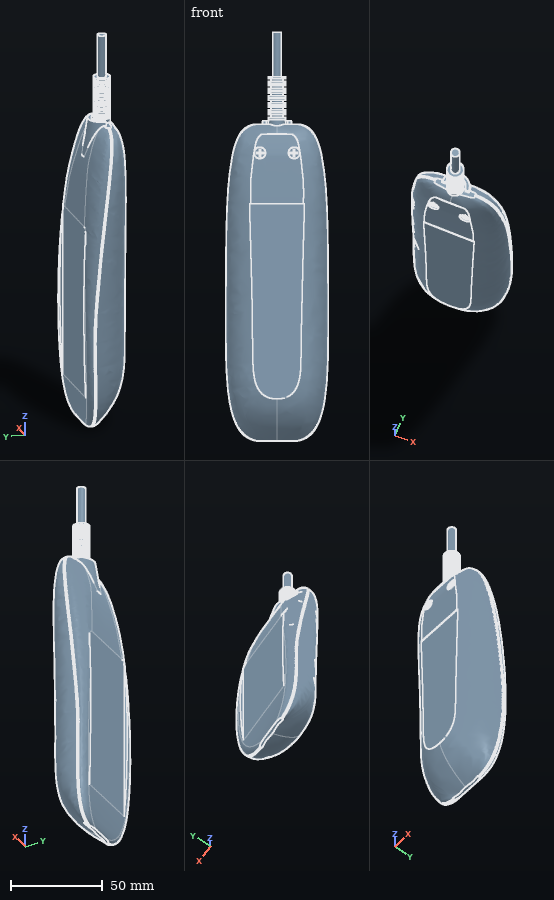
import cadquery as cq
import math


shell_top = 172.5
half_width = 55.9 / 2
cutter_length = 4 * half_width
cut_clearance = 2.2
front_y = -9.1
back_y = 17.1
pole_gap = 0.5
wide_z = 60.1
deep_z = 71.2
crown_y = -11.1
crown_start_z = 53.5
crown_end_z = 124.7
front_fullness = 0.73
back_round = 5.0
back_round_growth = 0.12
max_round_share = 0.6

width_bottom_curve = (3, 4)
width_top_curve = (4.2, 5)
crown_bottom_power = 4
crown_top_curve = (4, 2.6)
back_bottom_curve = (2, 3)
back_top_curve = (2.5, 2)

seam_peak_z = 55.7
seam_peak_y = 13.1
seam_bottom_y = 10.7
seam_power = 1.5
seam_width = 1.0
seam_depth = 0.7

channel_floor_y = 15.8
channel_half_width = 19.5
channel_wall_run = 0.8

panel_split_z = 129.1
cover_step = 0.2
plate_bend_z = 144.7
plate_middle_z = 160.3
plate_middle_y = -8.5
plate_top_z = 167
plate_top_y = -7.3

screw_x = 9.4
screw_z = 157.0
screw_radius = 3.1
screw_floor_y = -7.8
cross_length = 4.0
cross_width = 1.0
cross_depth = 1.0

cable_radius = 2.5
cable_top = 222.6
boot_bottom = 164.8
boot_top = 198.4
boot_radius = 4.7
groove_count = 6
groove_span = 23.4
groove_pitch = groove_span / groove_count
groove_width = 1.3
groove_radius = 3.3
score_width = 0.5
score_radius = 4.5
top_ring = 1.1
collar_top = 174.5
collar_bottom = 153.6
collar_top_radius = 7.8
collar_bottom_radius = 11.1
collar_bore_radius = 5.8

section_heights = [0, 1.1, 3.3, 7.8, 15.5, 24.5, 40, 60.1, 80.2, 102.5, 124.7, 142.5, 153.6, 161.5, 167, 170.3, 171.9, shell_top]


def taper(share, fullness, bluntness):
    """Superellipse that falls from 1 to 0 as share goes from 0 to 1."""
    return (1 - share**fullness) ** (1 / bluntness)


def width_at(z):
    """Half of the shell's width."""
    if z < wide_z:
        return half_width * taper((wide_z - z) / (wide_z + pole_gap), *width_bottom_curve)
    return half_width * taper((z - wide_z) / (shell_top + pole_gap - wide_z), *width_top_curve)


def seam_at(z):
    """Y of the parting line, where the shell is widest."""
    if z < seam_peak_z:
        drop = seam_peak_y - seam_bottom_y
        return seam_peak_y - drop * ((seam_peak_z - z) / seam_peak_z) ** seam_power
    return seam_peak_y * (1 - ((z - seam_peak_z) / (shell_top - seam_peak_z)) ** seam_power)


def crown_at(z):
    """Foremost point of the shell before the panels are planed off."""
    if z < crown_start_z:
        share = (crown_start_z - z) / (crown_start_z + pole_gap)
        return crown_y + (seam_bottom_y - crown_y) * share**crown_bottom_power
    if z > crown_end_z:
        return crown_y * taper((z - crown_end_z) / (shell_top + pole_gap - crown_end_z), *crown_top_curve)
    return crown_y


def back_at(z):
    """Y of the raised edges of the back."""
    if z < deep_z:
        rise = back_y - seam_bottom_y
        return seam_bottom_y + rise * taper((deep_z - z) / (deep_z + pole_gap), *back_bottom_curve)
    return back_y * taper((z - deep_z) / (shell_top + pole_gap - deep_z), *back_top_curve)


def section(z, inset):
    """Cross-section at height z: domed front, rounded sides and a flat back."""
    side = width_at(z) - inset
    crest = side - min(back_round + back_round_growth * max(z - deep_z, 0), side * max_round_share)
    crown, seam, back = crown_at(z), seam_at(z), back_at(z)
    front_mid = (side * front_fullness, seam + (crown - seam) * front_fullness)
    ellipse_mid = math.sqrt(0.5)
    back_mid = (crest + (side - crest) * ellipse_mid, seam + (back - seam) * ellipse_mid)
    right, up, left, down = (1, 0), (0, 1), (-1, 0), (0, -1)
    return (
        cq.Workplane("XY", origin=(0, 0, z))
        .moveTo(0, crown)
        .spline([front_mid, (side, seam)], tangents=[right, up], includeCurrent=True)
        .spline([back_mid, (crest, back)], tangents=[up, left], includeCurrent=True)
        .lineTo(-crest, back)
        .spline([(-back_mid[0], back_mid[1]), (-side, seam)], tangents=[left, down], includeCurrent=True)
        .spline([(-front_mid[0], front_mid[1]), (0, crown)], tangents=[down, right], includeCurrent=True)
        .wire()
        .val()
    )


def shell(inset=0):
    return cq.Workplane(cq.Solid.makeLoft([section(z, inset) for z in section_heights], False))


def seam_groove():
    """Shallow groove round the shell along the parting line."""
    line = [(seam_at(z), z) for z in section_heights]
    lower = [(y - seam_width / 2, z) for y, z in line]
    upper = [(y + seam_width / 2, z) for y, z in reversed(line)]
    strip = (
        cq.Workplane("YZ", origin=(-cutter_length / 2, 0, 0))
        .moveTo(*lower[0])
        .spline(lower[1:], includeCurrent=True)
        .lineTo(*upper[0])
        .spline(upper[1:], includeCurrent=True)
        .close()
        .extrude(cutter_length)
    )
    return strip.cut(shell(seam_depth))


def back_channel():
    """Sloping-sided channel that runs out where the back drops below its floor."""
    outer_y = back_y + cut_clearance
    outer_half_width = channel_half_width + channel_wall_run * (outer_y - channel_floor_y)
    return (
        cq.Workplane("XY")
        .polyline([
            (-channel_half_width, channel_floor_y),
            (channel_half_width, channel_floor_y),
            (outer_half_width, outer_y),
            (-outer_half_width, outer_y),
        ])
        .close()
        .extrude(shell_top)
    )


def panel_cut():
    """Everything in front of the two panels: the upper one curves back at its top."""
    return (
        cq.Workplane("YZ", origin=(-cutter_length / 2, 0, 0))
        .moveTo(crown_y - cut_clearance, 0)
        .lineTo(front_y + cover_step, 0)
        .lineTo(front_y + cover_step, panel_split_z)
        .lineTo(front_y, panel_split_z)
        .spline(
            [(front_y, plate_bend_z), (plate_middle_y, plate_middle_z), (plate_top_y, plate_top_z)],
            tangents=[(0, 1), (plate_top_y - plate_middle_y, plate_top_z - plate_middle_z)],
            includeCurrent=True,
        )
        .lineTo(crown_y - cut_clearance, shell_top)
        .close()
        .extrude(cutter_length)
    )


def screw_recess(x):
    """Round recess down to a screw head with a cross slot."""
    head = (
        cq.Workplane("XZ", origin=(x, screw_floor_y, screw_z))
        .circle(screw_radius)
        .extrude(cut_clearance)
    )
    cross = cq.Workplane("XZ", origin=(x, screw_floor_y + cross_depth, screw_z))
    upright = cross.rect(cross_width, cross_length).extrude(cross_depth)
    level = cross.rect(cross_length, cross_width).extrude(cross_depth)
    return head.union(upright).union(level)


def turned(profile):
    """Solid of revolution about the cable from (radius, height) points."""
    return cq.Workplane("XZ").polyline(profile).close().revolve(360, (0, 0), (0, 1))


def ring_cutter(middle_z, width, radius):
    """Ring that cuts the boot down to the given radius."""
    ring = cq.Workplane("XY", origin=(0, 0, middle_z - width / 2))
    return ring.circle(2 * boot_radius).circle(radius).extrude(width)


def boot():
    """Ribbed sleeve where the cable leaves the shell."""
    body = cq.Workplane("XY", origin=(0, 0, boot_bottom)).circle(boot_radius).extrude(boot_top - boot_bottom)
    for index in range(groove_count):
        groove_z = boot_top - top_ring - groove_width / 2 - index * groove_pitch
        body = body.cut(ring_cutter(groove_z, groove_width, groove_radius))
        body = body.cut(ring_cutter(groove_z - groove_pitch / 2, score_width, score_radius))
    return body


def collar():
    """Half-round collar on the back side of the boot, open towards the top."""
    cone = turned([
        (0, collar_bottom),
        (collar_bottom_radius, collar_bottom),
        (collar_top_radius, collar_top),
        (0, collar_top),
    ])
    bore = cq.Workplane("XY", origin=(0, 0, shell_top)).circle(collar_bore_radius).extrude(collar_top)
    size = 3 * collar_bottom_radius
    back_half = cq.Workplane("XY").box(size, size, 2 * collar_top, centered=(True, False, True))
    return cone.cut(bore).intersect(back_half)


body = shell().cut(back_channel()).cut(seam_groove())
body = body.cut(panel_cut())
body = body.union(collar()).union(boot())
for x in (-screw_x, screw_x):
    body = body.cut(screw_recess(x))
cable = cq.Workplane("XY", origin=(0, 0, boot_bottom)).circle(cable_radius).extrude(cable_top - boot_bottom)
result = body.union(cable)